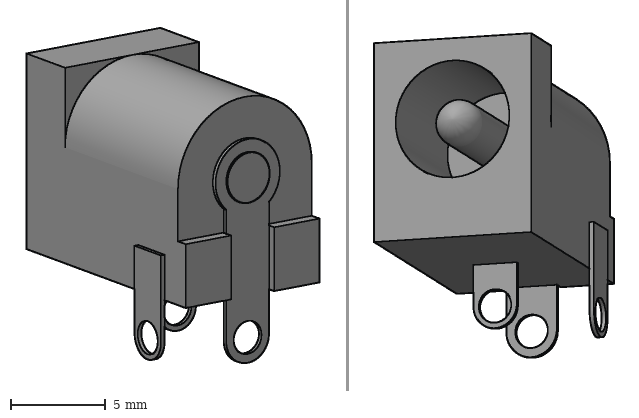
import cadquery as cq

overall_height = 14.51
length = 14.4
width = 8.7
height = 10.71
flange_length = 3.5
barrel_end = 13.7
foot_height = 3.5
barrel_radius = width / 2
axis_height = height - barrel_radius
socket_diameter = 6.3
socket_depth = 9.0

pin_diameter = 2.5
pin_tip_x = 0.0
tip_flat_radius = 0.01
tip_fillet = pin_diameter / 2 - tip_flat_radius
head_radius = 2.09
rear_plate = 0.25
rear_width = 2.79
rear_drop = overall_height - height
rivet_height = 0.09
rivet_chamfer = 0.03

tab_width = 2.4
tab_plate = 0.25
tab_drop = 3.47
eyelet_diameter = 1.8
middle_tab_x = 7.37
side_tab_x = 11.3
side_tab_top = 2.5


def rod(diameter, x_start, x_end):
    """Cylinder on the common axis."""
    return (
        cq.Workplane("YZ", origin=(x_start, 0, axis_height))
        .circle(diameter / 2)
        .extrude(x_end - x_start)
    )


def box(x_start, x_end, box_width, box_height):
    """Block standing on Z = 0, centred on Y = 0."""
    return cq.Workplane("XY", origin=(x_start, 0, 0)).box(
        x_end - x_start, box_width, box_height, centered=(False, True, False)
    )


def solder_tab(tab_w, top, drop, plate):
    """Plate in the YZ plane, thick along +X, with a concentric round end and eyelet."""
    radius = tab_w / 2
    arc_height = radius - drop
    return (
        cq.Workplane("YZ")
        .moveTo(-radius, top)
        .lineTo(-radius, arc_height)
        .threePointArc((0, -drop), (radius, arc_height))
        .lineTo(radius, top)
        .close()
        .extrude(plate)
        .cut(
            cq.Workplane("YZ", origin=(0, 0, arc_height))
            .circle(eyelet_diameter / 2)
            .extrude(plate)
        )
    )


def make_housing():
    flange = box(0, flange_length, width, height)
    lower_body = box(0, barrel_end, width, axis_height)
    foot = box(0, length, width, foot_height)
    barrel = rod(width, 0, barrel_end)
    terminal_slot = box(barrel_end, length, rear_width, foot_height)
    socket = rod(socket_diameter, 0, socket_depth)
    pin_bore = rod(pin_diameter, socket_depth, barrel_end)
    return (
        flange.union(lower_body).union(foot).union(barrel)
        .cut(terminal_slot).cut(socket).cut(pin_bore)
    )


def make_pin_terminal():
    plate_end = barrel_end + rear_plate
    pin = rod(pin_diameter, pin_tip_x, plate_end).faces("<X").edges().fillet(tip_fillet)
    head = rod(2 * head_radius, barrel_end, plate_end)
    rivet = rod(rear_width, plate_end, plate_end + rivet_height)
    rivet = rivet.faces(">X").edges().chamfer(rivet_chamfer)
    tab = solder_tab(rear_width, axis_height, rear_drop, rear_plate).translate((barrel_end, 0, 0))
    return pin.union(head).union(tab).union(rivet)


def make_middle_tab():
    return solder_tab(tab_width, 0, tab_drop, tab_plate).translate((middle_tab_x, 0, 0))


def make_side_tab():
    tab = solder_tab(tab_width, side_tab_top, tab_drop, tab_plate)
    return tab.rotate((0, 0, 0), (0, 0, 1), -90).translate((side_tab_x, -width / 2, 0))


housing = make_housing()
pin_terminal = make_pin_terminal()
middle_tab = make_middle_tab()
side_tab = make_side_tab()

result = cq.Compound.makeCompound(
    [housing.val(), pin_terminal.val(), middle_tab.val(), side_tab.val()]
)